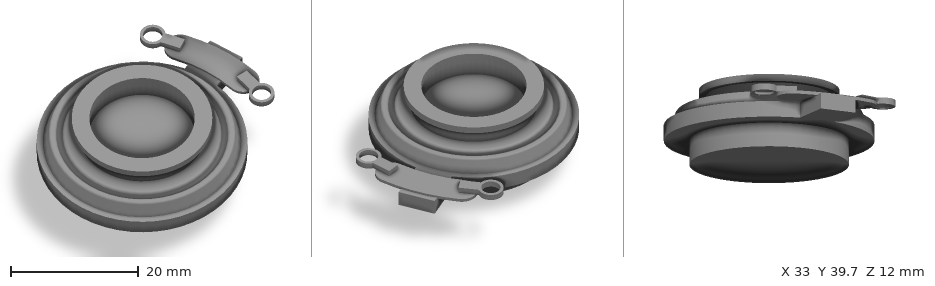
import cadquery as cq
import math

base_radius = 25.0 / 2
flange_radius = 33.0 / 2
collar_radius = 20.0 / 2
lip_radius = 22.0 / 2
bore_radius = 16.5 / 2
bezel_foot_radius = 15.55
bezel_shoulder_radius = 14.62
bezel_rim_radius = 14.2
flange_bottom = 3.8
flange_top = 6.3
bezel_shoulder_z = 8.22
rim_bulge = 0.7
bezel_top = 8.45
lip_bottom = 10.9
housing_top = 12.0
bore_depth = 4.0

groove_radius = 12.95
groove_round = 0.48
groove_flank_angle = math.radians(80)

tab_width = 6.1
tab_end_y = 39.73 - flange_radius

plate_outer_radius = 29.8
plate_width = 5.0
plate_outer_y = 22.45
plate_cap_x = 6.0
plate_bottom = 6.15
plate_thickness = 0.5
plate_top = plate_bottom + plate_thickness

lug_positions = [
    (-10.5, 18.2, 12.3),
    (10.33, 18.0, 162.8),
]
eye_outer_diameter = 4.0
eye_hole_diameter = 3.0
arm_length = 5.0
arm_width = 2.0
lug_thickness = 1.0


def make_plate():
    """Arc-shaped plate with fully rounded ends."""
    mid_radius = plate_outer_radius - plate_width / 2
    inner_radius = plate_outer_radius - plate_width
    center_y = plate_outer_y - plate_outer_radius
    cap_angle = math.asin(plate_cap_x / mid_radius)
    cap_y = center_y + mid_radius * math.cos(cap_angle)
    cap_radius = plate_width / 2

    def on_arc(radius, angle):
        return (radius * math.sin(angle), center_y + radius * math.cos(angle))

    def cap_tip(side):
        tip_x = plate_cap_x + cap_radius * math.cos(cap_angle)
        return (side * tip_x, cap_y - cap_radius * math.sin(cap_angle))

    return (
        cq.Workplane("XY", origin=(0, 0, plate_bottom))
        .moveTo(*on_arc(plate_outer_radius, -cap_angle))
        .threePointArc(on_arc(plate_outer_radius, 0), on_arc(plate_outer_radius, cap_angle))
        .threePointArc(cap_tip(1), on_arc(inner_radius, cap_angle))
        .threePointArc(on_arc(inner_radius, 0), on_arc(inner_radius, -cap_angle))
        .threePointArc(cap_tip(-1), on_arc(plate_outer_radius, -cap_angle))
        .close()
        .extrude(plate_thickness)
    )


def make_turned_body():
    """Base, flange, grooved bezel, collar and lip, revolved from one half section."""
    arc_run = groove_round * math.sin(groove_flank_angle)
    arc_drop = groove_round * (1 - math.cos(groove_flank_angle))
    mid_run = groove_round * math.sin(groove_flank_angle / 2)
    mid_drop = groove_round * (1 - math.cos(groove_flank_angle / 2))
    flank_z = bezel_top - arc_drop
    floor_z = flank_z - arc_drop
    groove_inner = groove_radius - 2 * arc_run
    groove_outer = groove_radius + 2 * arc_run

    rim_mid = (
        bezel_rim_radius + rim_bulge * (bezel_shoulder_radius - bezel_rim_radius),
        bezel_shoulder_z + rim_bulge * (bezel_top - bezel_shoulder_z),
    )
    return (
        cq.Workplane("XZ")
        .lineTo(base_radius, 0)
        .lineTo(base_radius, flange_bottom)
        .lineTo(flange_radius, flange_bottom)
        .lineTo(flange_radius, flange_top)
        .lineTo(bezel_foot_radius, flange_top)
        .lineTo(bezel_shoulder_radius, bezel_shoulder_z)
        .threePointArc(rim_mid, (bezel_rim_radius, bezel_top))
        .lineTo(groove_outer, bezel_top)
        .threePointArc((groove_outer - mid_run, bezel_top - mid_drop), (groove_radius + arc_run, flank_z))
        .threePointArc((groove_radius, floor_z), (groove_radius - arc_run, flank_z))
        .threePointArc((groove_inner + mid_run, bezel_top - mid_drop), (groove_inner, bezel_top))
        .lineTo(collar_radius, bezel_top)
        .lineTo(collar_radius, lip_bottom)
        .lineTo(lip_radius, lip_bottom)
        .lineTo(lip_radius, housing_top)
        .lineTo(bore_radius, housing_top)
        .lineTo(bore_radius, housing_top - bore_depth)
        .lineTo(0, housing_top - bore_depth)
        .close()
        .revolve(360, (0, 0, 0), (0, 1, 0))
    )


def make_tab():
    """Flat tab reaching from under the bezel out past the flange."""
    root_y = base_radius
    return (
        cq.Workplane("XY", origin=(0, (root_y + tab_end_y) / 2, flange_bottom))
        .rect(tab_width, tab_end_y - root_y)
        .extrude(flange_top - flange_bottom)
    )


def make_lug(eye_x, eye_y, arm_angle):
    """Ring-shaped eye with a straight arm running from its centre."""
    eye = cq.Workplane("XY").circle(eye_outer_diameter / 2).extrude(lug_thickness)
    arm = (
        cq.Workplane("XY")
        .center(arm_length / 2, 0)
        .rect(arm_length, arm_width)
        .extrude(lug_thickness)
    )
    hole = cq.Workplane("XY").circle(eye_hole_diameter / 2).extrude(lug_thickness)
    lug = eye.union(arm).cut(hole)
    return lug.rotate((0, 0, 0), (0, 0, 1), arm_angle).translate((eye_x, eye_y, plate_top))


plate = make_plate()
housing = make_turned_body().union(make_tab()).cut(plate)
lugs = [make_lug(*position) for position in lug_positions]

result = cq.Compound.makeCompound([housing.val(), plate.val(), *[lug.val() for lug in lugs]])